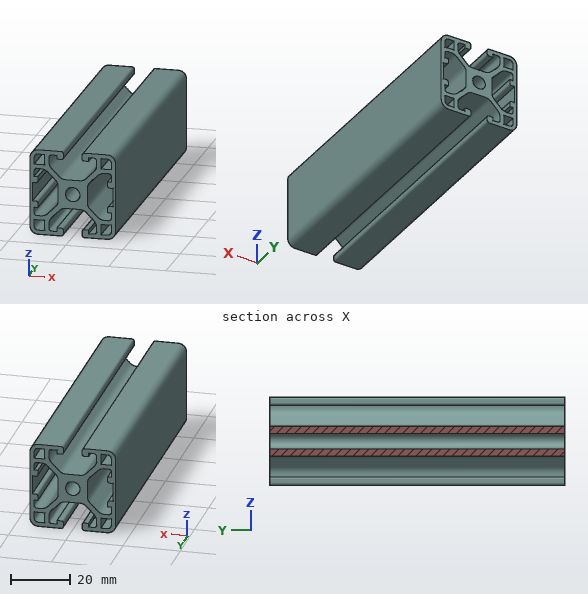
import cadquery as cq
import math

size = 30.0
length = 100.0
corner_radius = 3.0
bore_diameter = 5.0

wall = 1.5
web = 1.9
core_size = 10.2
slot_inner_width = 16.7
lip_root_width = 11.0
slot_width = 6.5
lip_depth = 2.8
cover_wall = 0.9

core_bend_radius = 3.0
side_bend_radius = 3.5
inner_radius = 1.0
lip_inner_radius = 0.7
lip_outer_radius = 0.9

half = size / 2
overshoot = 1.0


def rounded_prism(corners):
    """Extrude a closed outline of (x, z, radius) corners; a zero radius stays sharp."""
    path = []
    count = len(corners)
    for i, (x, z, radius) in enumerate(corners):
        corner = cq.Vector(x, z)
        if radius == 0:
            path.append((corner, None, corner))
            continue
        before = cq.Vector(*corners[i - 1][:2])
        after = cq.Vector(*corners[(i + 1) % count][:2])
        back = (before - corner).normalized()
        ahead = (after - corner).normalized()
        half_angle = back.getAngle(ahead) / 2
        reach = radius / math.tan(half_angle)
        sagitta = radius / math.sin(half_angle) - radius
        middle = corner + (back + ahead).normalized() * sagitta
        path.append((corner + back * reach, middle, corner + ahead * reach))

    outline = cq.Workplane("XZ", origin=(0, length / 2, 0)).moveTo(*path[0][2].toTuple()[:2])
    for start, middle, end in path[1:] + path[:1]:
        outline = outline.lineTo(*start.toTuple()[:2])
        if middle is not None:
            outline = outline.threePointArc(middle.toTuple()[:2], end.toTuple()[:2])
    return outline.close().extrude(length)


def mirrored(right_side):
    """Complete a right-hand chain of corners with its mirror image across the Z axis."""
    return right_side + [(-x, z, radius) for x, z, radius in reversed(right_side)]


def slot_cavity(mouth):
    """Slot cavity on the +Z side; mouth lists the corners that follow the inner lip edge."""
    core = core_size / 2
    side = slot_inner_width / 2
    web_offset = web / math.sqrt(2)
    return rounded_prism(mirrored([
        (core - web_offset, core, core_bend_radius),
        (side, side + web_offset, side_bend_radius),
        (side, half - wall, inner_radius),
        (lip_root_width / 2, half - wall, 0),
        (lip_root_width / 2, half - lip_depth, 0),
        (slot_width / 2, half - lip_depth, lip_inner_radius),
    ] + mouth))


def open_slot():
    return slot_cavity([(slot_width / 2, half + overshoot, 0)])


def closed_slot():
    return slot_cavity([(slot_width / 2, half - cover_wall, 0)])


def corner_cell():
    """Hollow cell in the +X +Z corner."""
    near = slot_inner_width / 2 + wall
    far = half - wall
    return rounded_prism([
        (near, near, 0),
        (far, near, 0),
        (far, far, corner_radius - wall),
        (near, far, 0),
    ])


def turned(body, angle):
    """Turn a body about the profile's long axis."""
    return body.rotate((0, 0, 0), (0, 1, 0), angle)


def round_slot_mouths(body):
    """Round the lip edges where the open slots meet the outer faces."""
    mouth_edges = cq.selectors.BoxSelector(
        (-slot_width, -length, -size), (slot_width, length, size)
    )
    for outer_face in (">Z", "<Z"):
        body = body.faces(outer_face).edges("|Y").edges(mouth_edges).fillet(lip_outer_radius)
    return body


def bore():
    return cq.Workplane("XZ", origin=(0, length / 2, 0)).circle(bore_diameter / 2).extrude(length)


result = cq.Workplane("XY").box(size, length, size).edges("|Y").fillet(corner_radius)

for angle in (0, 180):
    result = result.cut(turned(open_slot(), angle))
    result = result.cut(turned(closed_slot(), angle + 90))
result = round_slot_mouths(result)

for angle in (0, 90, 180, 270):
    result = result.cut(turned(corner_cell(), angle))

result = result.cut(bore())